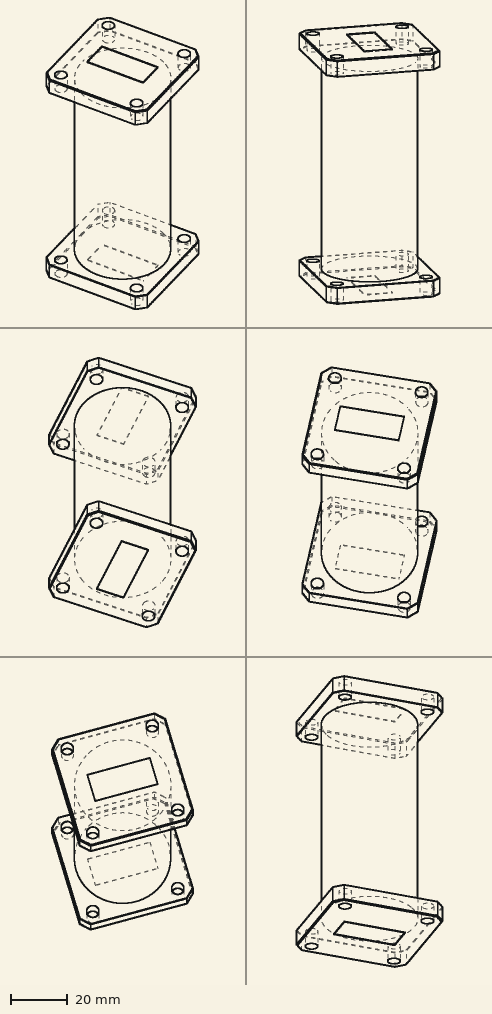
import cadquery as cq

total_length = 88.9
flange_side = 41.4
flange_thickness = 6.05
barrel_diameter = 33.9

corner_chamfer = 3.1
outer_rim_chamfer = 0.4
inner_rim_chamfer = 0.2
hole_diameter = 4.4
hole_spacing_x = 31.0
hole_spacing_y = 32.5

recess_width = 22.85
recess_height = 10.1
recess_depth = 0.3


def make_end_flange():
    """Upper flange, with its outer face at half the total length."""
    flange = (
        cq.Workplane("XY")
        .workplane(offset=total_length / 2 - flange_thickness)
        .rect(flange_side, flange_side)
        .extrude(flange_thickness)
        .edges("|Z")
        .chamfer(corner_chamfer)
        .faces(">Z")
        .edges()
        .chamfer(outer_rim_chamfer)
        .faces("<Z")
        .edges()
        .chamfer(inner_rim_chamfer)
    )
    flange = (
        flange.faces(">Z")
        .workplane(centerOption="CenterOfBoundBox")
        .rect(hole_spacing_x, hole_spacing_y, forConstruction=True)
        .vertices()
        .hole(hole_diameter)
    )
    return (
        flange.faces(">Z")
        .workplane(centerOption="CenterOfBoundBox")
        .rect(recess_width, recess_height)
        .cutBlind(-recess_depth)
    )


barrel_length = total_length - 2 * flange_thickness
barrel = cq.Workplane("XY").cylinder(barrel_length, barrel_diameter / 2)

upper_flange = make_end_flange()
lower_flange = upper_flange.mirror("XY")

result = barrel.union(upper_flange).union(lower_flange)